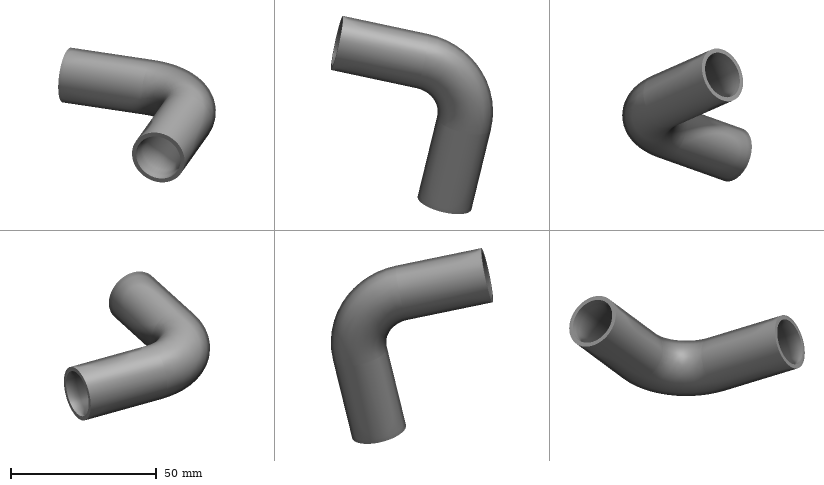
import cadquery as cq

overall_length = 58.6
outer_diameter = 19.05
inner_diameter = 16.05

outer_radius = outer_diameter / 2
bend_radius = outer_diameter
leg_length = overall_length - bend_radius - outer_radius


def elbow(diameter):
    """Solid round bar: a leg along X, a quarter bend, and a leg along -Y.

    The origin is where the two leg centrelines would meet.
    """
    leg_end = -(leg_length + bend_radius)
    x_leg = (
        cq.Workplane("YZ", origin=(leg_end, 0, 0))
        .circle(diameter / 2)
        .extrude(leg_length)
    )
    bend = (
        cq.Workplane("YZ", origin=(-bend_radius, 0, 0))
        .circle(diameter / 2)
        .revolve(90, (-bend_radius, 0.6, 0), (-bend_radius, 0, 0))
    )
    y_leg = (
        cq.Workplane("XZ", origin=(0, -bend_radius, 0))
        .circle(diameter / 2)
        .extrude(leg_length)
    )
    return x_leg.union(bend).union(y_leg)


result = elbow(outer_diameter).cut(elbow(inner_diameter))